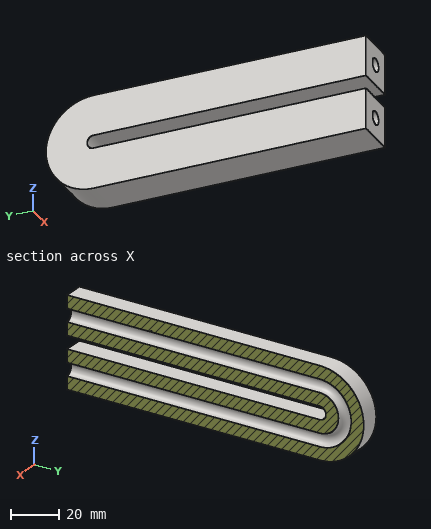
import cadquery as cq

length = 147.0
leg_size = 19.0
slot_width = 6.0
bore_diameter = 6.0

height = 2 * leg_size + slot_width
outer_radius = height / 2
slot_radius = slot_width / 2
centerline_radius = (outer_radius + slot_radius) / 2
leg_end_y = -length / 2
bend_y = length / 2 - outer_radius


def u_path(radius):
    """Open U in the YZ plane: two straight legs joined by a half circle."""
    return (
        cq.Workplane("YZ")
        .moveTo(leg_end_y, -radius)
        .lineTo(bend_y, -radius)
        .threePointArc((bend_y + radius, 0), (bend_y, radius))
        .lineTo(leg_end_y, radius)
    )


def u_plate(radius):
    """Round-ended plate, centred on X, with the given end radius."""
    return u_path(radius).close().extrude(leg_size / 2, both=True)


body = u_plate(outer_radius).cut(u_plate(slot_radius))

bore = (
    cq.Workplane("XZ", origin=(0, leg_end_y, -centerline_radius))
    .circle(bore_diameter / 2)
    .sweep(u_path(centerline_radius))
)

result = body.cut(bore)